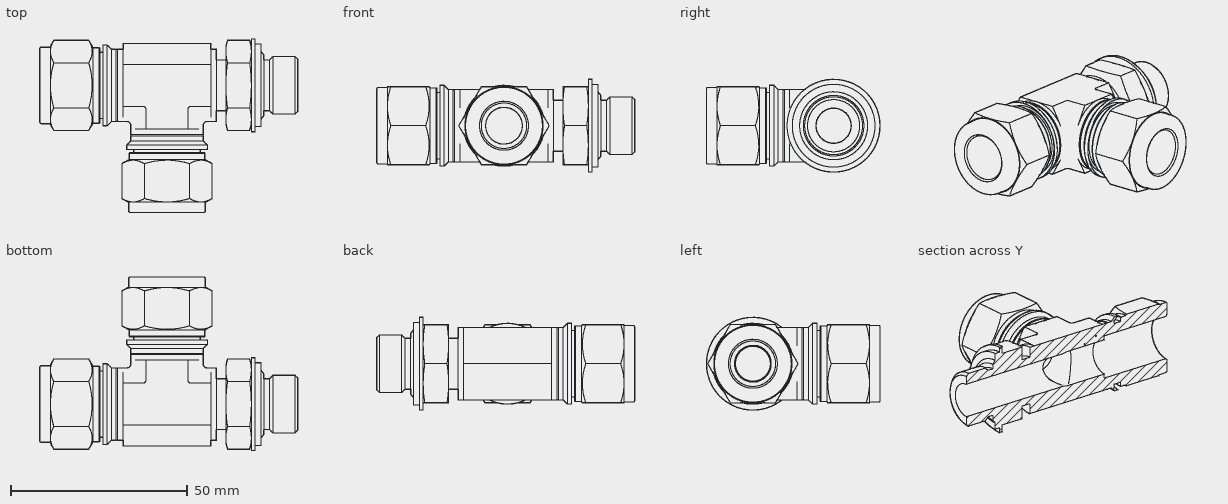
import cadquery as cq
import math


body_flats = 20.6
body_half_length = 12.45
body_round_end = 14.0
corner_fillet = 1.0

port_length = 36.1
undercut_end = 14.4
undercut_diameter = 20.5
shoulder_start = 15.77
shoulder_diameter = 23.0
shoulder_end = 18.2
recess_diameter = 22.9
recess_depth = 1.3
gap_diameter = 18.9
collar_start = 19.05
collar_diameter = 21.5
collar_lead_diameter = 21.3
collar_lead_length = 0.25
tube_nut_start = 21.0
tube_nut_end = 33.1
nut_flats = 22.22
tube_nut_chamfer_angle = 30.0
tube_nut_front_diameter = 22.2
rim_diameter = 21.8
rim_fillet = 0.5

thread_length = 37.1
neck_diameter = 14.5
lock_nut_start = 16.7
lock_nut_end = 23.93
lock_nut_chamfer_angle = 15.0
lock_nut_face_diameter = 22.2
washer_end = 25.0
washer_diameter = 26.4
ring_end = 26.7
ring_diameter = 23.5
seal_end = 27.5
seal_base_diameter = 19.3
seal_tip_diameter = 17.2
thread_start = 29.1
thread_diameter = 16.42
thread_end_chamfer = 0.8

tube_bore = 10.41
thread_bore = 9.9
bore_taper_length = 1.75
socket_diameter = 12.9
socket_depth = 22.9
socket_mouth_diameter = 13.9

TO_LEFT = 180.0
TO_FRONT = -90.0


def turned(half_profile):
    """Revolve (distance, diameter) pairs about the X axis."""
    points = [(x, diameter / 2) for x, diameter in half_profile]
    outline = [(points[0][0], 0)] + points + [(points[-1][0], 0)]
    return cq.Workplane("XY").polyline(outline).close().revolve(360, (0, 0, 0), (1, 0, 0))


def aimed(port, angle):
    return port.rotate((0, 0, 0), (0, 0, 1), angle)


def chamfered_hexagon(start, end, start_diameter, end_diameter, angle):
    """Hexagon along X with flats on +Z and -Z and conical chamfers on both ends."""
    corner_diameter = nut_flats / math.cos(math.radians(30))
    slope = math.tan(math.radians(angle)) / 2
    start_chamfer = (corner_diameter - start_diameter) * slope
    end_chamfer = (corner_diameter - end_diameter) * slope
    hexagon = (
        cq.Workplane("YZ").workplane(offset=start)
        .polygon(6, corner_diameter).extrude(end - start)
    )
    envelope = turned([
        (start, start_diameter),
        (start + start_chamfer, corner_diameter),
        (end - end_chamfer, corner_diameter),
        (end, end_diameter),
    ])
    return hexagon.intersect(envelope)


def arm_section(rounded_left):
    """Hexagonal section whose right corner, and optionally left corner, is rounded."""
    radius = body_flats / 2
    corner = radius / math.cos(math.radians(30))
    tangent_x = radius * math.cos(math.radians(30))
    tangent_y = radius / 2
    section = (
        cq.Workplane("YZ")
        .moveTo(-corner / 2, radius)
        .lineTo(corner / 2, radius)
        .lineTo(tangent_x, tangent_y)
        .threePointArc((radius, 0), (tangent_x, -tangent_y))
        .lineTo(corner / 2, -radius)
        .lineTo(-corner / 2, -radius)
    )
    if rounded_left:
        section = (
            section.lineTo(-tangent_x, -tangent_y)
            .threePointArc((-radius, 0), (-tangent_x, tangent_y))
        )
    else:
        section = section.lineTo(-corner, 0)
    return section.close()


def lies_in_corner(edge, side):
    """The run and the branch meet where X, on the given side, is as long as Y."""
    ends = (edge.startPoint(), edge.endPoint())
    return all(math.isclose(end.x * side, -end.y, abs_tol=1e-4) for end in ends)


def make_body():
    run = aimed(arm_section(False).extrude(body_half_length, both=True), TO_LEFT)
    branch = aimed(arm_section(True).extrude(body_half_length), TO_FRONT)
    tee = run.union(branch)

    for side in (-1, 1):
        corner_edges = [edge for edge in tee.edges().vals() if lies_in_corner(edge, side)]
        tee = tee.newObject(corner_edges).fillet(corner_fillet)
    return tee


def make_tube_end():
    shoulder_rise = (shoulder_diameter - body_flats) / 2
    stem = turned([
        (0, body_flats),
        (body_round_end, body_flats),
        (body_round_end, undercut_diameter),
        (undercut_end, undercut_diameter),
        (undercut_end, body_flats),
        (shoulder_start, body_flats),
        (shoulder_start + shoulder_rise, shoulder_diameter),
        (shoulder_end, shoulder_diameter),
        (shoulder_end, recess_diameter),
        (shoulder_end - recess_depth, recess_diameter - 2 * recess_depth),
        (shoulder_end - recess_depth, gap_diameter),
        (collar_start, gap_diameter),
        (collar_start, collar_lead_diameter),
        (collar_start + collar_lead_length, collar_diameter),
        (tube_nut_end, collar_diameter),
    ])
    hexagon = chamfered_hexagon(
        tube_nut_start, tube_nut_end, collar_diameter, tube_nut_front_diameter, tube_nut_chamfer_angle
    )
    rim = turned([(tube_nut_end, rim_diameter), (port_length, rim_diameter)])
    rim = rim.faces(">X").edges().fillet(rim_fillet)
    return stem.union(hexagon).union(rim)


def make_threaded_end():
    run_out = (thread_diameter - neck_diameter) / 2
    stem = turned([
        (0, body_flats),
        (body_round_end, body_flats),
        (body_round_end, neck_diameter),
        (lock_nut_end, neck_diameter),
        (lock_nut_end, washer_diameter),
        (washer_end, washer_diameter),
        (washer_end, ring_diameter),
        (ring_end, ring_diameter),
        (ring_end, seal_base_diameter),
        (seal_end, seal_tip_diameter),
        (seal_end, neck_diameter),
        (thread_start, neck_diameter),
        (thread_start + run_out, thread_diameter),
        (thread_length - thread_end_chamfer, thread_diameter),
        (thread_length, thread_diameter - 2 * thread_end_chamfer),
    ])
    lock_nut = chamfered_hexagon(
        lock_nut_start, lock_nut_end, lock_nut_face_diameter, lock_nut_face_diameter,
        lock_nut_chamfer_angle,
    )
    return stem.union(lock_nut)


def make_tube_bore():
    mouth_chamfer = (socket_mouth_diameter - socket_diameter) / 2
    return turned([
        (0, tube_bore),
        (port_length - socket_depth, tube_bore),
        (port_length - socket_depth, socket_diameter),
        (port_length - mouth_chamfer, socket_diameter),
        (port_length, socket_mouth_diameter),
    ])


def make_thread_bore():
    return turned([
        (0, tube_bore),
        (bore_taper_length, thread_bore),
        (thread_length, thread_bore),
    ])


result = make_body().union(make_threaded_end())
for direction in (TO_LEFT, TO_FRONT):
    result = result.union(aimed(make_tube_end(), direction))

result = result.cut(make_thread_bore())
for direction in (TO_LEFT, TO_FRONT):
    result = result.cut(aimed(make_tube_bore(), direction))